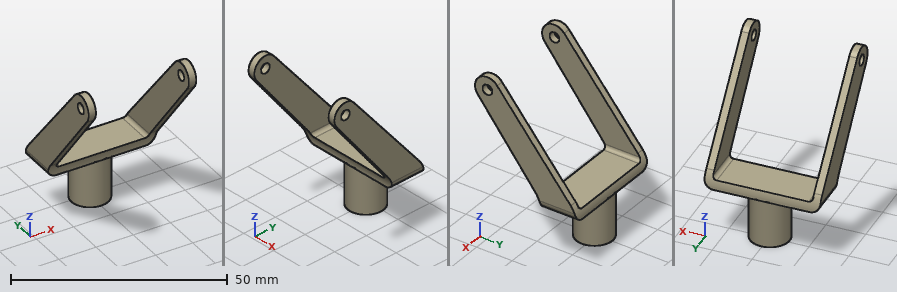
import cadquery as cq
import math

overall_height = 43.5
fork_width = 29.0
fork_reach = 28.5
stem_diameter = 10.0
stem_height = 12.5
arm_thickness = 2.0
floor_thickness = 2.52
outer_corner_radius = floor_thickness
inner_corner_radius = 1.0
bend_radius = 7.0
tip_diameter = 7.0
tip_radius = tip_diameter / 2
pin_hole_diameter = 2.7

half_depth = stem_diameter / 2
tip_y = half_depth - fork_reach + tip_radius
tip_z = overall_height - tip_radius
floor_top = stem_height + floor_thickness


def edge_lean(bend_y, radius_change):
    """Lean from vertical of the line tangent to a bend arc and the tip arc."""
    run = bend_y - tip_y
    rise = tip_z - stem_height
    return math.atan2(run, rise) + math.asin(radius_change / math.hypot(run, rise))


def on_circle(center_y, center_z, radius, angle):
    """Point at an angle measured from +Y towards +Z."""
    return (center_y + radius * math.cos(angle), center_z + radius * math.sin(angle))


def side_profile():
    """Leaning arm outline, with vertical sides curving into the rounded tip."""
    back_bend_y = half_depth - bend_radius
    front_bend_y = -half_depth - bend_radius
    back_lean = edge_lean(back_bend_y, bend_radius - tip_radius)
    front_lean = edge_lean(front_bend_y, bend_radius + tip_radius)
    tip_middle = (back_lean + front_lean + math.pi) / 2
    return (
        cq.Workplane("YZ")
        .moveTo(half_depth, stem_height)
        .threePointArc(
            on_circle(back_bend_y, stem_height, bend_radius, back_lean / 2),
            on_circle(back_bend_y, stem_height, bend_radius, back_lean),
        )
        .lineTo(*on_circle(tip_y, tip_z, tip_radius, back_lean))
        .threePointArc(
            on_circle(tip_y, tip_z, tip_radius, tip_middle),
            on_circle(tip_y, tip_z, tip_radius, front_lean + math.pi),
        )
        .lineTo(*on_circle(front_bend_y, stem_height, bend_radius, front_lean))
        .threePointArc(
            on_circle(front_bend_y, stem_height, bend_radius, front_lean / 2),
            (-half_depth, stem_height),
        )
        .close()
        .extrude(fork_width / 2, both=True)
    )


def rounded_channel(width, bottom, corner_radius):
    """Block along Y, rounded at its lower corners and tall and long enough to span the fork."""
    return (
        cq.Workplane("XY")
        .workplane(offset=bottom)
        .rect(width, 2 * fork_reach)
        .extrude(overall_height)
        .edges("|Y and <Z")
        .fillet(corner_radius)
    )


outside = rounded_channel(fork_width, stem_height, outer_corner_radius)
inside = rounded_channel(fork_width - 2 * arm_thickness, floor_top, inner_corner_radius)
fork = side_profile().intersect(outside).cut(inside)

pin_hole = (
    cq.Workplane("YZ")
    .center(tip_y, tip_z)
    .circle(pin_hole_diameter / 2)
    .extrude(fork_width, both=True)
)

stem = cq.Workplane("XY").circle(stem_diameter / 2).extrude(stem_height)

result = fork.cut(pin_hole).union(stem)